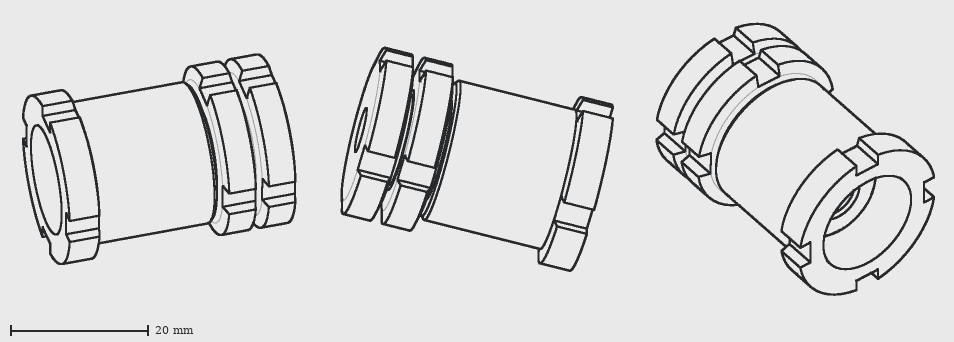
import cadquery as cq


disc_radius = 12.5
disc_thickness = 5.0
disc_face_radius = 10.63
disc_bevel_length = 0.5
slot_width = 3.95
slot_floor_distance = 10.5
slot_count = 4
spindle_turn = 1.4

sleeve_length = 23.0
sleeve_radius = 10.5
sleeve_chamfer = 0.5
bore_radius = 8.1
bore_depth = 8.27

spindle_radius = 7.5
end_chamfer = 0.75
end_recess = 6.8
neck_radius = 6.77
neck_length = 1.0
neck_fillet = 0.55
hole_radius = 3.3
countersink_radius = 3.82

overall_length = 34.75
sleeve_start = -overall_length / 2
sleeve_end = sleeve_start + sleeve_length
bore_end = sleeve_start + bore_depth
head_end = overall_length / 2
head_start = head_end - disc_thickness
locknut_end = head_start - neck_length
locknut_start = locknut_end - disc_thickness
spindle_start = sleeve_start + end_recess


def revolve_about_y(profile):
    """Turn a closed (radius, y) sketch about the Y axis."""
    return profile.close().revolve(360, (0, 0, 0), (0, 1, 0))


def cylinder(radius, y_start, y_end):
    """Solid cylinder on the Y axis."""
    profile = cq.Workplane("XY").moveTo(0, y_start).lineTo(radius, y_start)
    profile = profile.lineTo(radius, y_end).lineTo(0, y_end)
    return revolve_about_y(profile)


def slotted_disc(y_start, bevel_start, turn):
    """Disc with four rim slots, bevelled on its +Y face and optionally on its -Y face."""
    y_end = y_start + disc_thickness
    profile = cq.Workplane("XY").moveTo(0, y_start)
    if bevel_start:
        profile = profile.lineTo(disc_face_radius, y_start)
        profile = profile.lineTo(disc_radius, y_start + disc_bevel_length)
    else:
        profile = profile.lineTo(disc_radius, y_start)
    profile = profile.lineTo(disc_radius, y_end - disc_bevel_length)
    profile = profile.lineTo(disc_face_radius, y_end).lineTo(0, y_end)
    disc = revolve_about_y(profile)

    slot_cutter = cq.Workplane("XY").box(
        disc_radius, disc_thickness, slot_width, centered=(False, False, True)
    )
    slot_cutter = slot_cutter.translate((slot_floor_distance, y_start, 0))
    for index in range(slot_count):
        angle = turn + index * 360 / slot_count
        disc = disc.cut(slot_cutter.rotate((0, 0, 0), (0, 1, 0), angle))
    return disc


def make_sleeve():
    """Flanged sleeve with a wide bore at the mouth and a spindle hole beyond it."""
    barrel = cylinder(sleeve_radius, sleeve_start, sleeve_end).faces(">Y").chamfer(sleeve_chamfer)
    sleeve = barrel.union(slotted_disc(sleeve_start, False, 0))
    sleeve = sleeve.cut(cylinder(bore_radius, sleeve_start, bore_end))
    return sleeve.cut(cylinder(spindle_radius, bore_end, sleeve_end))


def make_locknut():
    """Slotted locknut bored to fit the spindle."""
    locknut = slotted_disc(locknut_start, True, spindle_turn)
    return locknut.cut(cylinder(spindle_radius, locknut_start, locknut_end))


def make_spindle():
    """Spindle with a chamfered end, a filleted neck under the slotted head and a through hole."""
    shank = cylinder(spindle_radius, spindle_start, locknut_end).faces("<Y").chamfer(end_chamfer)

    neck_profile = (
        cq.Workplane("XY")
        .moveTo(0, locknut_end)
        .lineTo(neck_radius, locknut_end)
        .lineTo(neck_radius, head_start - neck_fillet)
        .radiusArc((neck_radius + neck_fillet, head_start), neck_fillet)
        .lineTo(0, head_start)
    )
    head = slotted_disc(head_start, True, spindle_turn)
    spindle = shank.union(revolve_about_y(neck_profile)).union(head)

    countersink_depth = countersink_radius - hole_radius
    countersink_profile = (
        cq.Workplane("XY")
        .moveTo(0, spindle_start)
        .lineTo(countersink_radius, spindle_start)
        .lineTo(hole_radius, spindle_start + countersink_depth)
        .lineTo(0, spindle_start + countersink_depth)
    )
    spindle = spindle.cut(cylinder(hole_radius, spindle_start, head_end))
    return spindle.cut(revolve_about_y(countersink_profile))


sleeve = make_sleeve()
locknut = make_locknut()
spindle = make_spindle()

result = cq.Compound.makeCompound([sleeve.val(), locknut.val(), spindle.val()])